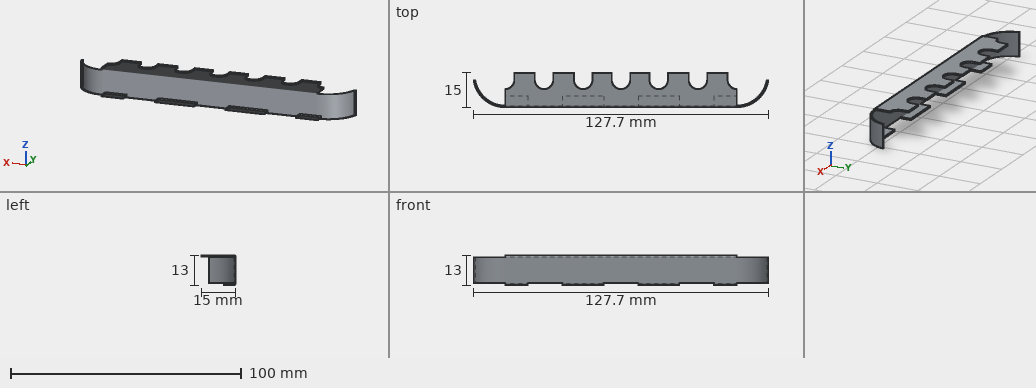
import cadquery as cq
import math

total_length = 127.7
total_depth = 15.0
total_height = 13.0

sheet = 0.8
bend_radius = 0.9
body_length = 100.4
lip_depth = 5.1

slot_offsets = (16.3, 33.3, body_length / 2)
slot_radius = 4.0
slot_depth = 7.0

gap_width = 15.0
gap_pitch = 32.8

arm_rise = 11.6
arm_height = total_height - 2 * bend_radius
half_body = body_length / 2
arm_reach = total_length / 2 - half_body
arm_angle = 2 * math.atan(arm_rise / arm_reach)
arm_radius = arm_reach / math.sin(arm_angle)


def bent_channel():
    """C-shaped sheet profile with rounded bends, extruded along X."""
    outer = (
        cq.Workplane("YZ")
        .rect(total_depth, total_height, centered=False)
        .extrude(half_body, both=True)
        .edges("|X and <Y")
        .fillet(bend_radius)
    )
    inner_height = total_height - 2 * sheet
    cavity = (
        cq.Workplane("YZ", origin=(0, sheet, sheet))
        .rect(total_depth, inner_height, centered=False)
        .extrude(half_body, both=True)
        .edges("|X and <Y")
        .fillet(bend_radius - sheet)
    )
    behind_lip = cq.Workplane("XY", origin=(0, lip_depth, 0)).box(
        body_length, total_depth, total_height - sheet, centered=(True, False, False)
    )
    return outer.cut(cavity).cut(behind_lip)


def flange_slot(x):
    """Cutter open to the rear, with a semicircular bottom."""
    slot_center_y = total_depth - slot_depth + slot_radius
    return (
        cq.Workplane("XY", origin=(x, 0, total_height - sheet))
        .moveTo(-slot_radius, total_depth)
        .lineTo(-slot_radius, slot_center_y)
        .threePointArc((0, slot_center_y - slot_radius), (slot_radius, slot_center_y))
        .lineTo(slot_radius, total_depth)
        .close()
        .extrude(sheet)
    )


def lip_gap(x):
    """Cutter removing the bottom lip and its bend below the web."""
    return cq.Workplane("XY", origin=(x, 0, 0)).box(
        gap_width, lip_depth, bend_radius, centered=(True, False, False)
    )


def end_arm(side):
    """Curved strip at one end; side is -1 for left and 1 for right."""

    def arc_point(radius, angle):
        x = side * (half_body + radius * math.sin(angle))
        return (x, arm_radius - radius * math.cos(angle))

    inner_radius = arm_radius - sheet
    inner_angle = math.acos((arm_radius - arm_rise) / inner_radius)
    return (
        cq.Workplane("XY", origin=(0, 0, bend_radius))
        .moveTo(*arc_point(arm_radius, 0))
        .threePointArc(arc_point(arm_radius, arm_angle / 2), arc_point(arm_radius, arm_angle))
        .lineTo(*arc_point(inner_radius, inner_angle))
        .threePointArc(arc_point(inner_radius, inner_angle / 2), arc_point(inner_radius, 0))
        .close()
        .extrude(arm_height)
    )


result = bent_channel()

result = result.cut(flange_slot(0))
for offset in slot_offsets:
    for side in (-1, 1):
        result = result.cut(flange_slot(side * offset))

for index in (-1, 0, 1):
    result = result.cut(lip_gap(index * gap_pitch))

for side in (-1, 1):
    result = result.union(end_arm(side))